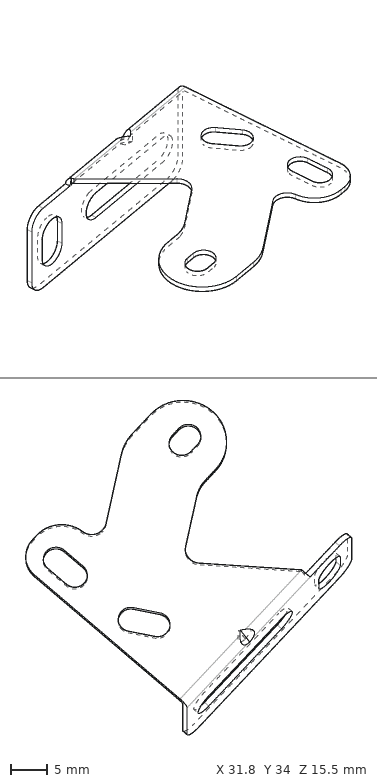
import cadquery as cq
import math

width = 31.8
length = 34.0
height = 15.5
sheet = 0.8
bend_radius = 1.3
inner_bend_radius = bend_radius - sheet

wall_corner_radius = 2.55
wall_slot_radius = 2.2
wall_slot_z = -8.57
long_slot_y = 22.0
long_slot_length = 19.45
short_slot_y = 4.6
short_slot_length = 7.95

bend_end_y = 8.6
web_start_y = 8.9
web_corner = (14.3, 19.05)
arm_angle = math.radians(60)
arm_bend_y_left = 9.5
arm_bend_y_right = 11.55
arm_bend_radius_left = 5.1
arm_bend_radius_right = 6.45
arm_end_radius = 6.0
arm_end_x = width - arm_end_radius
web_fillet = 2.05
ear_corner_radius = 3.57
ear_radius = 4.6
ear_center = (width - ear_radius, 29.48)
ear_notch_radius = 2.0

plate_slot_radius = 1.75
ear_slot_center = (25.77, 30.33)
ear_slot_length = 6.95
arm_slot_y = 5.6
arm_slot_length = 4.83
tilted_slot_center = (12.4, 29.0)
tilted_slot_length = 7.2
tilted_slot_angle = 30

dent_y = 21.05
dent_reach = 1.77
dent_half_angle = 60


def point_on_circle(center, radius, angle):
    return center[0] + radius * math.cos(angle), center[1] + radius * math.sin(angle)


def ear_notch():
    """Center of the notch tangent to the ear circle and the arm edge, and its angle seen from the ear."""
    ear_x, ear_y = ear_center
    edge_x = width - (ear_y - arm_bend_y_right) / math.tan(arm_angle)
    normal_offset = (edge_x - ear_x) * math.sin(arm_angle) + ear_notch_radius
    center_distance = ear_radius + ear_notch_radius
    edge_normal = math.pi / 2 - arm_angle
    angle = edge_normal - math.acos(normal_offset / center_distance)
    return point_on_circle(ear_center, center_distance, angle), angle


def round_edge(body, point, radius):
    """Fillet the upright edge that passes nearest to a plan point."""
    return body.edges("|Z").edges(cq.NearestToPointSelector((*point, -sheet / 2))).fillet(radius)


def make_plate():
    notch_center, notch_angle = ear_notch()
    notch_start = notch_angle + math.pi
    notch_end = math.pi / 2 - arm_angle + math.pi
    notch_middle = (notch_start + notch_end) / 2
    arm_left_x = width - 2 * arm_end_radius
    plate = (
        cq.Workplane("XY")
        .moveTo(0, length)
        .lineTo(width, length)
        .lineTo(width, ear_center[1])
        .threePointArc(
            point_on_circle(ear_center, ear_radius, notch_angle / 2),
            point_on_circle(ear_center, ear_radius, notch_angle),
        )
        .threePointArc(
            point_on_circle(notch_center, ear_notch_radius, notch_middle),
            point_on_circle(notch_center, ear_notch_radius, notch_end),
        )
        .lineTo(width, arm_bend_y_right)
        .lineTo(width, arm_end_radius)
        .threePointArc((arm_end_x, 0), (arm_left_x, arm_end_radius))
        .lineTo(arm_left_x, arm_bend_y_left)
        .lineTo(*web_corner)
        .lineTo(bend_radius, web_start_y)
        .lineTo(0, web_start_y)
        .close()
        .extrude(-sheet)
    )
    rounded_corners = [
        ((width, length), ear_corner_radius),
        ((width, arm_bend_y_right), arm_bend_radius_right),
        ((arm_left_x, arm_bend_y_left), arm_bend_radius_left),
        (web_corner, web_fillet),
    ]
    for point, radius in rounded_corners:
        plate = round_edge(plate, point, radius)
    return plate


def make_wall():
    lower = (
        cq.Workplane("XY")
        .box(sheet, length, height - bend_radius, centered=False)
        .translate((0, 0, -height))
        .edges("|X")
        .edges("<Z or <Y")
        .fillet(wall_corner_radius)
    )
    bend_strip = (
        cq.Workplane("YZ")
        .polyline([(length, 0), (web_start_y, 0), (bend_end_y, -bend_radius), (length, -bend_radius)])
        .close()
        .extrude(sheet)
    )
    return lower.union(bend_strip)


def corner_round(radius, end_y):
    """Prism between the square corner of a bend and its rounding, about the bend center."""
    corner = bend_radius - radius
    middle = bend_radius - radius * math.sqrt(0.5)
    return (
        cq.Workplane("XZ", origin=(0, length, 0))
        .moveTo(corner, -corner)
        .lineTo(bend_radius, -corner)
        .threePointArc((middle, -middle), (corner, -bend_radius))
        .close()
        .extrude(length - end_y)
    )


def plate_slot(center, slot_length, angle):
    return (
        cq.Workplane("XY")
        .center(*center)
        .slot2D(slot_length, 2 * plate_slot_radius, angle)
        .extrude(-sheet)
    )


def wall_slot(y, slot_length, angle):
    return (
        cq.Workplane("YZ")
        .center(y, wall_slot_z)
        .slot2D(slot_length, 2 * wall_slot_radius, angle)
        .extrude(sheet)
    )


def dent_wedge(reach):
    """V wedge across the bend whose ridge joins the points at `reach` along X and -Z."""
    depth = reach * math.sqrt(0.5)
    half_width = depth * math.tan(math.radians(dent_half_angle))
    ridge_plane = cq.Plane(origin=(0, dent_y, 0), xDir=(0, 1, 0), normal=(1, 0, 1))
    return (
        cq.Workplane(ridge_plane)
        .polyline([(-half_width, 0), (half_width, 0), (0, -depth)])
        .close()
        .extrude(reach, both=True)
    )


def add_dent(body):
    """Press a V groove into the outside of the bend and raise a matching rib inside it."""
    inside_reach = dent_reach + sheet * math.sqrt(2)
    bend_zone = cq.Workplane("XY").box(inside_reach, length, inside_reach, centered=False)
    bend_zone = bend_zone.translate((0, 0, -inside_reach))
    rib = dent_wedge(inside_reach).intersect(bend_zone)
    return body.union(rib).cut(corner_round(bend_radius, bend_end_y)).cut(dent_wedge(dent_reach))


result = make_plate().union(make_wall()).union(corner_round(inner_bend_radius, web_start_y))
result = add_dent(result)
result = result.cut(plate_slot(ear_slot_center, ear_slot_length, 0))
result = result.cut(plate_slot((arm_end_x, arm_slot_y), arm_slot_length, 90))
result = result.cut(plate_slot(tilted_slot_center, tilted_slot_length, tilted_slot_angle))
result = result.cut(wall_slot(long_slot_y, long_slot_length, 0))
result = result.cut(wall_slot(short_slot_y, short_slot_length, 90))